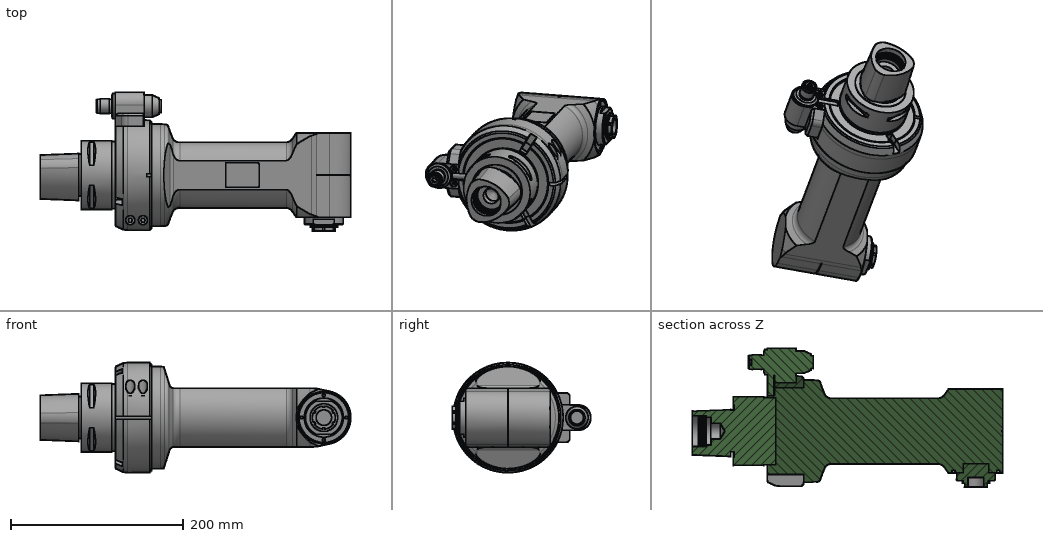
import cadquery as cq
import math


taper_end = 45.0
shank_face = 47.5
shank_step = 83.3
ring_front = 87.0
ring_back = 129.5
tube_start = 162.2
tube_end = 285.5
head_start = 297.8
head_center = 329.0
overall_length = 360.5

taper_tip_radius = 25.5
taper_base_radius = 27.5
lobe_height = 2.0
lobe_half_angle = 12.0
neck_radius = 24.5
shank_radius = 40.0
shank_journal_radius = 39.3
shank_end = 97.5
face_recess_radius = 30.3
face_recess_depth = 0.7
bore_diameter = 32.0
bore_radius = bore_diameter / 2
counterbore_radius = 17.5
counterbore_depth = 7.2
bore_groove_start = 9.0
bore_groove_count = 3
bore_groove_pitch = 3.0
bore_groove_width = 1.5
bore_depth = 21.5
drill_radius = 9.0
drill_depth = 10.8
drill_point = 5.5
grip_slot_angles = (45, 135, 225, 315)
grip_slot_x = 60.0
grip_slot_floor_width = 4.7
grip_slot_mouth_width = 9.0
grip_slot_depth = 4.7

spigot_radius = 50.5
flange_radius = 59.5
flange_edge_x = 139.0
flange_shoulder_x = 149.2
flange_shoulder_radius = 54.8
flange_round_start = 144.0
flange_round_start_radius = 59.0
neck_start = 154.0
neck_start_radius = 42.5
tube_radius = 38.2
flat_height = 34.2
envelope_half_width = 65.0
shoulder_cut_start = 141.5
shoulder_round_start = 150.5
shoulder_round_start_height = 37.5
shoulder_round_end = 154.3
shoulder_round_bulge = 0.7
head_half_width = 49.0
head_nose_radius = overall_length - head_center
head_flare_radius = 49.7
flare_round_end = 292.7
flare_round_end_radius = 42.5
flare_bend = 313.0
flare_bend_radius = 56.5
flange_round_bulge = 1.5
neck_bulge = 1.5
flare_bulge = 1.0
head_flare_end = 325.5
head_flare_end_radius = 60.0
flat_end = 314.7
nose_line_start = 320.5
nose_tangent_angle = 78.0
seam_width = 0.7
seam_depth = 0.7
seam_start = 321.0
cover_radius = 29.0
cover_rim_radius = 30.3
cover_depth = 0.7
cover_hole_circle_radius = 26.0
cover_hole_count = 4
cover_hole_diameter = 3.2
cover_hole_depth = 3.0
plate_start = 215.2
plate_length = 39.0
plate_width = 28.5
plate_depth = 0.5
plate_corner_radius = 1.8

ring_diameter = 128.0
ring_radius = ring_diameter / 2
ring_face_radius = 57.3
ring_bevel_end = 88.0
ring_bevel_radius = 59.5
ring_cone_end = 96.3
ring_cone_radius = 63.5
ring_land_start = 101.3
ring_back_chamfer = 2.5
ring_bore_chamfer = 1.0
slit_width = 3.5
key_slot_width = 8.3
key_slot_depth = 8.5
key_slot_count = 3
clamp_screw_xs = (104.5, 119.5)
clamp_screw_y = -52.3
clamp_hole_diameter = 10.5
clamp_hole_floor = 25.2
clamp_socket_width = 5.0
clamp_socket_depth = 2.5
index_mark_width = 3.2
index_mark_length = 5.8
index_mark_depth = 1.8

seat_y = 56.5
holder_back = 120.8
lug_back = 119.7
holder_half_width = 14.8
holder_top = 96.3
holder_round_y = holder_top - holder_half_width
lug_half_width = 29.0
lug_top = 71.7
lug_bevel = 3.0
lug_slope_end = 97.0
lug_slope_round = 9.0
pin_y = 80.0
pin_start = 65.3
pin_radius = 8.5
pin_chamfer = 1.0
pin_tip_radius = 8.3
pin_tip_end = 69.5
pin_shoulder_x = 80.5
pin_waist_radius = 8.3
collar_start = 83.0
collar_radius = 14.8
collar_face_radius = 12.0
collar_bevel_end = 84.5
plug_radius = 13.0
plug_cone_start = 130.0
plug_cone_end = 138.0
plug_cone_radius = 9.5
plug_tip_radius = 7.5
plug_end = 140.5
pin_recess_diameter = 11.0
pin_recess_depth = 0.7
pin_socket_width = 6.0
pin_socket_depth = 3.5
rod_diameter = 8.0
rod_inner_y = 41.0
rod_outer_y = 64.5
mount_screw_y = 62.7
mount_screw_z = 8.5
mount_hole_diameter = 8.0
mount_hole_depth = 1.8
mount_socket_width = 3.2

disc_radius = 22.7
disc_end = 57.5
disc_chamfer = 1.5
disc_flat_half_width = 19.0
disc_flat_start = 51.2
nut_flange_diameter = 32.0
nut_flange_radius = nut_flange_diameter / 2
nut_flange_start = 59.0
nut_flange_end = 60.5
nut_neck_radius = 14.5
nut_radius = 13.5
spindle_end = 65.0
nut_notch_count = 6
nut_notch_width = 2.6
nut_notch_depth = 1.5
spindle_bore_radius = 9.0
spindle_bore_depth = 10.8
journal_radius = 14.5
journal_depth = 10.8
cover_face = head_half_width - cover_depth


def revolve_about_x(points):
    """Turn a closed (x, radius) outline about the X axis."""
    return cq.Workplane("XY").polyline(points).close().revolve(360, (0, 0, 0), (1, 0, 0))


def box_between(x_range, y_range, z_range):
    size = [high - low for low, high in (x_range, y_range, z_range)]
    corner = (x_range[0], y_range[0], z_range[0])
    return cq.Workplane("XY").box(*size, centered=False).translate(corner)


def arc_middle(start, end, bulge):
    """Middle point of an arc; a positive bulge lies to the left of the way from start to end."""
    span = math.dist(start, end)
    return (
        (start[0] + end[0]) / 2 - bulge * (end[1] - start[1]) / span,
        (start[1] + end[1]) / 2 + bulge * (end[0] - start[0]) / span,
    )


def key_slots():
    """Radial slots cut into the front faces of the housing spigot and the clamp ring."""
    slots = cq.Workplane("XY")
    for i in range(key_slot_count):
        slot = box_between(
            (ring_front, ring_front + key_slot_depth),
            (rod_inner_y, ring_radius),
            (-key_slot_width / 2, key_slot_width / 2),
        )
        slots = slots.add(slot.rotate((0, 0, 0), (1, 0, 0), i * 360 / key_slot_count))
    return slots.combine()


def lobed_wire(x, mean_radius):
    """Three-lobed section of six arcs, with one lobe pointing along -Y."""

    def point(angle):
        radius = mean_radius + lobe_height * math.cos(math.radians(3 * angle))
        return (-radius * math.cos(math.radians(angle)), radius * math.sin(math.radians(angle)))

    wire = cq.Workplane("YZ", origin=(x, 0, 0)).moveTo(*point(-lobe_half_angle))
    for lobe in (0, 120, 240):
        wire = wire.threePointArc(point(lobe), point(lobe + lobe_half_angle))
        wire = wire.threePointArc(point(lobe + 60), point(lobe + 120 - lobe_half_angle))
    return wire.close().val()


def grip_slot(angle):
    """Trapezoidal groove across the shank collar, centered at the given angle about X."""
    floor = shank_radius - grip_slot_depth
    outline = [
        (grip_slot_x - grip_slot_floor_width / 2, floor),
        (grip_slot_x + grip_slot_floor_width / 2, floor),
        (grip_slot_x + grip_slot_mouth_width / 2, shank_radius),
        (grip_slot_x - grip_slot_mouth_width / 2, shank_radius),
    ]
    groove = cq.Workplane("XZ").polyline(outline).close().extrude(shank_radius, both=True)
    return groove.rotate((0, 0, 0), (1, 0, 0), angle)


def make_shank():
    taper = cq.Workplane(
        cq.Solid.makeLoft([lobed_wire(0, taper_tip_radius), lobed_wire(taper_end, taper_base_radius)], True)
    )
    collar = revolve_about_x([
        (taper_end, 0), (taper_end, neck_radius),
        (shank_face + face_recess_depth, neck_radius),
        (shank_face + face_recess_depth, face_recess_radius),
        (shank_face, face_recess_radius), (shank_face, shank_radius),
        (shank_step, shank_radius), (shank_step, shank_journal_radius),
        (shank_end, shank_journal_radius), (shank_end, 0),
    ])
    shank = taper.union(collar)
    drill_end = bore_depth + drill_depth
    bore = revolve_about_x([
        (0, 0), (0, counterbore_radius),
        (counterbore_depth, counterbore_radius), (counterbore_depth, bore_radius),
        (bore_depth, bore_radius), (bore_depth, drill_radius),
        (drill_end, drill_radius), (drill_end + drill_point, 0),
    ])
    shank = shank.cut(bore)
    for i in range(bore_groove_count):
        groove_start = bore_groove_start + i * bore_groove_pitch
        groove = cq.Workplane("YZ", origin=(groove_start, 0, 0)).circle(counterbore_radius)
        shank = shank.cut(groove.extrude(bore_groove_width))
    for angle in grip_slot_angles:
        shank = shank.cut(grip_slot(angle))
    return shank


def turned_housing():
    """Spigot, flange, tube and flared head as one turned shape."""
    flange_round_mid = arc_middle(
        (flange_round_start, flange_round_start_radius),
        (flange_shoulder_x, flange_shoulder_radius),
        flange_round_bulge,
    )
    neck_mid = arc_middle((neck_start, neck_start_radius), (tube_start, tube_radius), -neck_bulge)
    flare_mid = arc_middle((tube_end, tube_radius), (flare_round_end, flare_round_end_radius), -flare_bulge)
    return (
        cq.Workplane("XY")
        .moveTo(ring_front, 0)
        .lineTo(ring_front, spigot_radius)
        .lineTo(ring_back, spigot_radius)
        .lineTo(ring_back, flange_radius)
        .lineTo(flange_edge_x, flange_radius)
        .lineTo(flange_round_start, flange_round_start_radius)
        .threePointArc(flange_round_mid, (flange_shoulder_x, flange_shoulder_radius))
        .lineTo(neck_start, neck_start_radius)
        .threePointArc(neck_mid, (tube_start, tube_radius))
        .lineTo(tube_end, tube_radius)
        .threePointArc(flare_mid, (flare_round_end, flare_round_end_radius))
        .lineTo(head_start, head_flare_radius)
        .lineTo(flare_bend, flare_bend_radius)
        .lineTo(head_flare_end, head_flare_end_radius)
        .lineTo(overall_length, head_flare_end_radius)
        .lineTo(overall_length, 0)
        .close()
        .revolve(360, (0, 0, 0), (1, 0, 0))
    )


def side_envelope(inset=0):
    """Side outline: sloped shoulder cuts, flats along the tube and the rounded nose.

    The inset moves only the nose inwards.
    """
    angle = math.radians(nose_tangent_angle)
    nose_radius = head_nose_radius - inset
    tangent_x = head_center + nose_radius * math.cos(angle)
    tangent_z = nose_radius * math.sin(angle)
    line_start_z = tangent_z + (tangent_x - nose_line_start) / math.tan(angle)
    round_mid_x, round_mid_z = arc_middle(
        (shoulder_round_start, shoulder_round_start_height),
        (shoulder_round_end, flat_height),
        -shoulder_round_bulge,
    )
    return (
        cq.Workplane("XZ")
        .moveTo(ring_front, -envelope_half_width)
        .lineTo(shoulder_cut_start, -envelope_half_width)
        .lineTo(shoulder_round_start, -shoulder_round_start_height)
        .threePointArc((round_mid_x, -round_mid_z), (shoulder_round_end, -flat_height))
        .lineTo(flat_end, -flat_height)
        .lineTo(nose_line_start, -line_start_z)
        .lineTo(tangent_x, -tangent_z)
        .threePointArc((head_center + nose_radius, 0), (tangent_x, tangent_z))
        .lineTo(nose_line_start, line_start_z)
        .lineTo(flat_end, flat_height)
        .lineTo(shoulder_round_end, flat_height)
        .threePointArc((round_mid_x, round_mid_z), (shoulder_round_start, shoulder_round_start_height))
        .lineTo(shoulder_cut_start, envelope_half_width)
        .lineTo(ring_front, envelope_half_width)
        .close()
        .extrude(envelope_half_width, both=True)
    )


def spindle_seat():
    """Recessed cover face with four small holes, and the bore for the spindle journal."""
    face = cq.Workplane("XZ", origin=(head_center, -head_half_width, 0))
    recess = cq.Workplane(cq.Solid.makeCone(
        cover_rim_radius, cover_radius, cover_depth,
        pnt=cq.Vector(head_center, -head_half_width, 0), dir=cq.Vector(0, 1, 0),
    ))
    bore = face.circle(journal_radius).extrude(-journal_depth)
    holes = (
        face.polarArray(cover_hole_circle_radius, 0, 360, cover_hole_count)
        .circle(cover_hole_diameter / 2)
        .extrude(-cover_depth - cover_hole_depth)
    )
    return recess.union(bore).union(holes)


def nose_seam():
    """Fine groove around the nose in the middle of the head."""
    nose = box_between(
        (seam_start, overall_length),
        (-seam_width / 2, seam_width / 2),
        (-flat_height, flat_height),
    )
    return nose.cut(side_envelope(seam_depth))


def name_plate_recess():
    return (
        cq.Workplane("XY", origin=(plate_start + plate_length / 2, 0, flat_height - plate_depth))
        .rect(plate_length, plate_width)
        .extrude(flat_height)
        .edges("|Z and >X")
        .fillet(plate_corner_radius)
    )


def make_housing():
    full_width = (-envelope_half_width, envelope_half_width)
    head_width = (-head_half_width, head_half_width)
    sides = box_between((ring_front, tube_end), full_width, full_width).union(
        box_between((tube_end, overall_length), head_width, full_width)
    )
    housing = turned_housing().intersect(side_envelope()).intersect(sides)
    journal_bore = revolve_about_x([
        (ring_front, 0), (ring_front, shank_journal_radius),
        (shank_end, shank_journal_radius), (shank_end, 0),
    ])
    housing = housing.cut(journal_bore).cut(key_slots())
    return housing.cut(spindle_seat()).cut(nose_seam()).cut(name_plate_recess())


def make_clamp_ring():
    ring = revolve_about_x([
        (ring_front, spigot_radius + ring_bore_chamfer), (ring_front, ring_face_radius),
        (ring_bevel_end, ring_bevel_radius),
        (ring_cone_end, ring_cone_radius), (ring_land_start, ring_radius),
        (ring_back - ring_back_chamfer, ring_radius), (ring_back, ring_radius - ring_back_chamfer),
        (ring_back, spigot_radius), (ring_front + ring_bore_chamfer, spigot_radius),
    ])
    slit = box_between((ring_front, ring_back), (-ring_radius, 0), (-slit_width / 2, slit_width / 2))
    seat = box_between((ring_front, holder_back), (seat_y, ring_radius), (-ring_radius, ring_radius))
    ring = ring.cut(slit).cut(seat).cut(key_slots())
    for x in clamp_screw_xs:
        hole = cq.Workplane("XY", origin=(x, clamp_screw_y, clamp_hole_floor))
        ring = ring.cut(hole.circle(clamp_hole_diameter / 2).extrude(ring_radius))
        ring = ring.cut(hole.polygon(6, clamp_socket_width).extrude(-clamp_socket_depth))
    index_mark = box_between(
        (ring_back - index_mark_length, ring_back),
        (-index_mark_width / 2, index_mark_width / 2),
        (ring_radius - index_mark_depth, ring_radius),
    )
    return ring.cut(index_mark)


def holder_lug():
    """Wide foot of the holder: narrow at the front, widening along a slope to full width."""
    outline = [
        (ring_front, -holder_half_width), (ring_front, holder_half_width),
        (lug_slope_end, lug_half_width), (lug_back, lug_half_width),
        (lug_back, -lug_half_width), (lug_slope_end, -lug_half_width),
    ]
    lug = cq.Workplane("XZ", origin=(0, seat_y, 0)).polyline(outline).close().extrude(seat_y - lug_top)
    lug = lug.edges("|Y").edges("not(<X or >X)").fillet(lug_slope_round)
    return lug.faces(">Y").edges("not |Z").chamfer(lug_bevel)


def locating_pin():
    outline = [
        (pin_start, 0),
        (pin_start, pin_tip_radius - pin_chamfer), (pin_start + pin_chamfer, pin_tip_radius),
        (pin_tip_end, pin_tip_radius), (pin_tip_end, pin_radius),
        (pin_shoulder_x, pin_radius), (pin_shoulder_x, pin_waist_radius),
        (collar_start, pin_waist_radius), (collar_start, collar_face_radius),
        (collar_bevel_end, collar_radius),
        (ring_front, collar_radius), (ring_front, plug_radius),
        (plug_cone_start, plug_radius), (plug_cone_end, plug_cone_radius),
        (plug_cone_end, plug_tip_radius), (plug_end, plug_tip_radius), (plug_end, 0),
    ]
    return revolve_about_x(outline).translate((0, pin_y, 0))


def key_rod():
    """Round key that reaches from the holder through the front slots towards the shank."""
    return (
        cq.Workplane("XZ", origin=(ring_front + key_slot_depth / 2, rod_inner_y, 0))
        .circle(rod_diameter / 2)
        .extrude(rod_inner_y - rod_outer_y)
    )


def make_stop_holder():
    block = box_between(
        (ring_front, holder_back), (seat_y, holder_round_y), (-holder_half_width, holder_half_width)
    )
    round_end = (
        cq.Workplane("YZ", origin=(ring_front, holder_round_y, 0))
        .circle(holder_half_width)
        .extrude(holder_back - ring_front)
    )
    holder = holder_lug().union(block).union(round_end).union(locating_pin())
    notch = box_between(
        (ring_front, ring_front + key_slot_depth),
        (seat_y, rod_outer_y),
        (-key_slot_width / 2, key_slot_width / 2),
    )
    holder = holder.cut(notch).union(key_rod())
    front = cq.Workplane("YZ", origin=(ring_front, 0, 0)).pushPoints(
        [(mount_screw_y, -mount_screw_z), (mount_screw_y, mount_screw_z)]
    )
    holder = holder.cut(front.circle(mount_hole_diameter / 2).extrude(mount_hole_depth))
    holder = holder.cut(front.polygon(6, mount_socket_width).extrude(2 * mount_hole_depth))
    pin_face = cq.Workplane("YZ", origin=(pin_start, pin_y, 0))
    holder = holder.cut(pin_face.circle(pin_recess_diameter / 2).extrude(pin_recess_depth))
    return holder.cut(pin_face.polygon(6, pin_socket_width).extrude(pin_socket_depth))


def make_spindle():
    """Turned about its own axis, with the distance from the input axis measured along -Y."""
    outline = [
        (0, head_half_width - journal_depth), (journal_radius, head_half_width - journal_depth),
        (journal_radius, cover_face), (disc_radius, cover_face),
        (disc_radius, disc_end - disc_chamfer), (disc_radius - disc_chamfer, disc_end),
        (nut_neck_radius, disc_end), (nut_flange_radius, nut_flange_start),
        (nut_flange_radius, nut_flange_end), (nut_radius, nut_flange_end),
        (nut_radius, spindle_end), (spindle_bore_radius, spindle_end),
        (spindle_bore_radius, spindle_end - spindle_bore_depth), (0, spindle_end - spindle_bore_depth),
    ]
    spindle = cq.Workplane("XY").polyline(outline).close().revolve(360, (0, 0, 0), (0, 1, 0))
    flat_y = (disc_end + disc_flat_start) / 2
    flat_z = disc_flat_half_width + disc_radius / 2
    for side in (-1, 1):
        flat = (
            cq.Workplane("XY")
            .box(2 * disc_radius, disc_end - disc_flat_start, disc_radius)
            .translate((0, flat_y, side * flat_z))
        )
        spindle = spindle.cut(flat)
    for i in range(nut_notch_count):
        notch = (
            cq.Workplane("XY")
            .box(nut_notch_depth * 2, spindle_end - nut_flange_end, nut_notch_width)
            .translate((nut_radius, (spindle_end + nut_flange_end) / 2, 0))
            .rotate((0, 0, 0), (0, 1, 0), (i + 0.5) * 360 / nut_notch_count)
        )
        spindle = spindle.cut(notch)
    return spindle.mirror("XZ").translate((head_center, 0, 0))


shank = make_shank()
housing = make_housing()
clamp_ring = make_clamp_ring()
stop_holder = make_stop_holder()
spindle = make_spindle()

result = cq.Compound.makeCompound([
    shank.solids().val(),
    housing.solids().val(),
    clamp_ring.solids().val(),
    stop_holder.solids().val(),
    spindle.solids().val(),
])